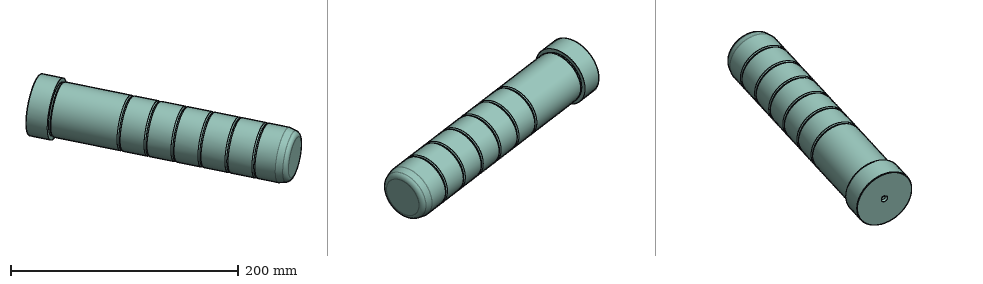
import cadquery as cq
import math

length = 240.0
head_radius = 56.0 / 2
head_length = 20.0
head_chamfer = 0.5
shaft_radius = 50.0 / 2

undercut_width = 2.5
undercut_depth = 0.7
undercut_slope_length = 1.0

groove_count = 6
groove_pitch = 25.0
first_groove_x = 85.0
groove_width = 3.0
groove_depth = 0.7

nose_length = 10.0
nose_angle = math.radians(15)
tip_fillet = 5.0

hole_radius = 2.0
countersink_radius = 3.0
countersink_angle = math.radians(60)
hole_depth = 8.5
drill_point_angle = math.radians(118)


def revolve_about_x(profile):
    """Revolve a closed (x, radius) profile about the X axis."""
    return profile.close().revolve(360, (0, 0, 0), (1, 0, 0))


def make_body():
    undercut_radius = shaft_radius - undercut_depth
    undercut_end = head_length + undercut_width
    nose_start = length - nose_length
    tip_radius = shaft_radius - nose_length * math.tan(nose_angle)
    profile = (
        cq.Workplane("XY")
        .lineTo(0, head_radius - head_chamfer)
        .lineTo(head_chamfer, head_radius)
        .lineTo(head_length, head_radius)
        .lineTo(head_length, undercut_radius)
        .lineTo(undercut_end - undercut_slope_length, undercut_radius)
        .lineTo(undercut_end, shaft_radius)
        .lineTo(nose_start, shaft_radius)
        .lineTo(length, tip_radius)
        .lineTo(length, 0)
    )
    return revolve_about_x(profile).faces(">X").edges().fillet(tip_fillet)


def make_groove(center_x):
    flank_slope = groove_depth / (groove_width / 2)
    cutter_half_width = groove_width
    cutter_radius = shaft_radius - groove_depth + cutter_half_width * flank_slope
    profile = (
        cq.Workplane("XY")
        .moveTo(center_x, shaft_radius - groove_depth)
        .lineTo(center_x + cutter_half_width, cutter_radius)
        .lineTo(center_x - cutter_half_width, cutter_radius)
    )
    return revolve_about_x(profile)


def make_center_hole():
    countersink_depth = (countersink_radius - hole_radius) / math.tan(countersink_angle / 2)
    point_length = hole_radius / math.tan(drill_point_angle / 2)
    profile = (
        cq.Workplane("XY")
        .lineTo(0, countersink_radius)
        .lineTo(countersink_depth, hole_radius)
        .lineTo(hole_depth, hole_radius)
        .lineTo(hole_depth + point_length, 0)
    )
    return revolve_about_x(profile)


result = make_body().cut(make_center_hole())
for index in range(groove_count):
    result = result.cut(make_groove(first_groove_x + index * groove_pitch))